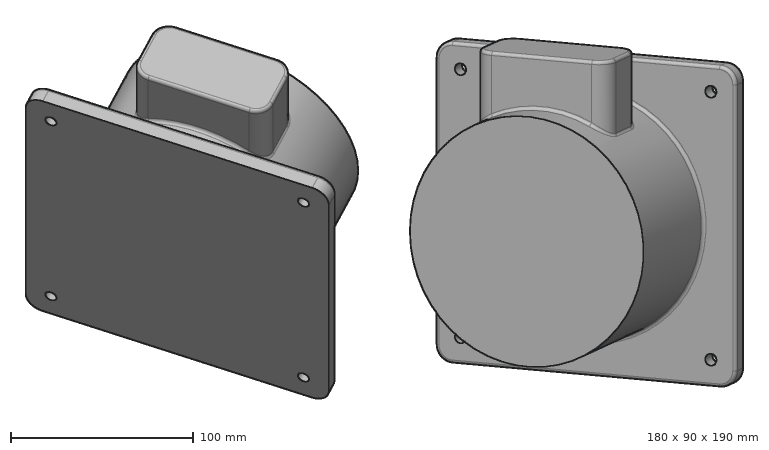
import cadquery as cq

plate_side = 180.0
plate_thickness = 10.0
plate_corner_radius = 10.0
hole_diameter = 6.6
hole_spacing = 150.0

body_diameter = 140.0
overall_depth = 90.0

box_length = 80.0
box_width = 40.0
box_corner_radius = 10.0
box_center_y = 50.0
box_rise_above_plate = 10.0
box_top_z = plate_side / 2 + box_rise_above_plate

edge_radius = 2.0

pick_margin = 1.0


def make_plate():
    """Plate with rounded corners and a rounded rear edge."""
    plate = (
        cq.Workplane("XZ")
        .rect(plate_side, plate_side)
        .extrude(-plate_thickness)
        .edges("|Y")
        .fillet(plate_corner_radius)
    )
    return plate.faces(">Y").edges().fillet(edge_radius)


def make_body():
    """Solid cylinder from the front face of the plate to the rear of the part."""
    return cq.Workplane("XZ").circle(body_diameter / 2).extrude(-overall_depth)


def make_box():
    """Upright box with rounded corners and top edge, starting on the body axis."""
    box = (
        cq.Workplane("XY")
        .center(0, box_center_y)
        .rect(box_length, box_width)
        .extrude(box_top_z)
        .edges("|Z")
        .fillet(box_corner_radius)
    )
    return box.faces(">Z").edges().fillet(edge_radius)


def round_plate_joint(part):
    """Fillet the circle where the body meets the rear of the plate."""
    reach = body_diameter / 2 + pick_margin
    joint = cq.selectors.BoxSelector(
        (-reach, plate_thickness - pick_margin, -reach),
        (reach, plate_thickness + pick_margin, reach),
        boundingbox=True,
    )
    return part.edges(joint).fillet(edge_radius)


def round_box_joint(part):
    """Fillet the closed curve where the box meets the body."""
    half_length = box_length / 2 + pick_margin
    half_width = box_width / 2 + pick_margin
    joint = cq.selectors.BoxSelector(
        (-half_length, box_center_y - half_width, 0),
        (half_length, box_center_y + half_width, body_diameter / 2 + pick_margin),
        boundingbox=True,
    )
    return part.edges(joint).fillet(edge_radius)


def cut_mounting_holes(part):
    """Four through holes near the plate corners."""
    holes = (
        cq.Workplane("XZ")
        .rect(hole_spacing, hole_spacing, forConstruction=True)
        .vertices()
        .circle(hole_diameter / 2)
        .extrude(-plate_thickness)
    )
    return part.cut(holes)


joined = make_plate().union(make_body()).union(make_box())
joined = round_plate_joint(joined)
joined = round_box_joint(joined)
result = cut_mounting_holes(joined)